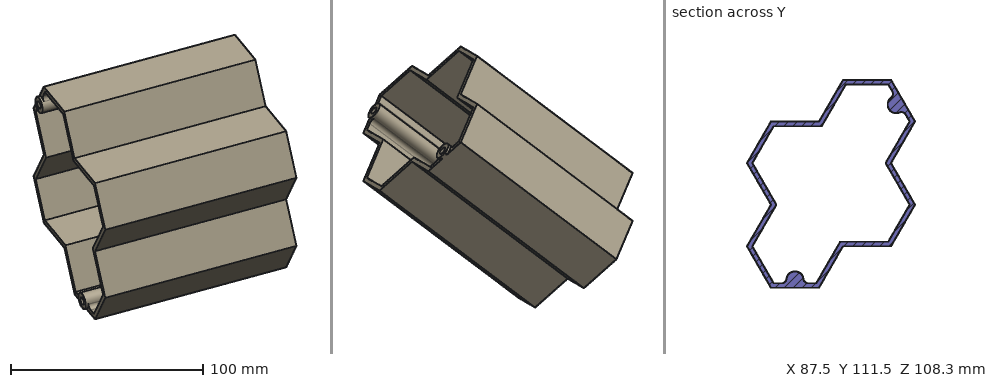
import cadquery as cq
import math

HEX_SIDE = 25.0
WALL = 2.5
SHELL_LENGTH = 110.0
BOSS_RADIUS = 4.5
BOSS_INSET = 4.15
BOSS_OVERHANG = 1.5
FILLET_RADIUS = 2.5
HOLE_DIAMETER = 4.0
HOLE_DEPTH = 20.0
CORNER_ANGLE = 60

APOTHEM = HEX_SIDE * math.sqrt(3) / 2
COLUMN_X = 0.75 * HEX_SIDE
UPPER_LEFT_CELL = (-COLUMN_X, 1.5 * APOTHEM)
LOWER_LEFT_CELL = (-COLUMN_X, -0.5 * APOTHEM)
UPPER_RIGHT_CELL = (COLUMN_X, 0.5 * APOTHEM)
LOWER_RIGHT_CELL = (COLUMN_X, -1.5 * APOTHEM)

FRONT_Y = -SHELL_LENGTH / 2
BOSS_FRONT_Y = FRONT_Y - BOSS_OVERHANG
BOSS_LENGTH = SHELL_LENGTH + BOSS_OVERHANG
TRIM_SIZE = 8 * HEX_SIDE


def section_plane(y):
    """XZ plane at the given Y; local x is X, local y is Z, extrusions run toward -Y."""
    return cq.Workplane("XZ", origin=(0, y, 0))


def cell_corner(cell, index):
    """Corner of a cell, counted counter-clockwise from its +X corner."""
    angle = math.radians(CORNER_ANGLE * index)
    return (cell[0] + HEX_SIDE * math.cos(angle), cell[1] + HEX_SIDE * math.sin(angle))


def outline():
    """Corners around the merged cells, counter-clockwise from the upper right."""
    cell_runs = [
        (UPPER_RIGHT_CELL, (0, 1, 2)),
        (UPPER_LEFT_CELL, (1, 2, 3, 4)),
        (LOWER_LEFT_CELL, (3, 4, 5)),
        (LOWER_RIGHT_CELL, (4, 5, 0, 1)),
    ]
    return [cell_corner(cell, index) for cell, run in cell_runs for index in run]


def prism(offset=0.0):
    """Merged-cell prism over the boss length, its sides moved inward by the offset."""
    profile = section_plane(BOSS_FRONT_Y).polyline(outline()).close()
    if offset:
        profile = profile.offset2D(-offset, "intersection")
    return profile.extrude(-BOSS_LENGTH)


def shell():
    """Open honeycomb tube."""
    tube = prism().cut(prism(WALL))
    end_trim = section_plane(FRONT_Y).rect(TRIM_SIZE, TRIM_SIZE).extrude(BOSS_OVERHANG)
    return tube.cut(end_trim)


def wall_point(cell, wall_angle, along, inset):
    """Point at a distance along a cell wall from its middle and inset from its outer face."""
    angle = math.radians(wall_angle)
    reach = APOTHEM - inset
    x = cell[0] + reach * math.cos(angle) - along * math.sin(angle)
    z = cell[1] + reach * math.sin(angle) + along * math.cos(angle)
    return (x, z)


def boss(cell, wall_angle):
    """Round boss on the middle of a wall, with the fillets that blend it into the wall."""
    center = wall_point(cell, wall_angle, 0, BOSS_INSET)
    body = section_plane(BOSS_FRONT_Y).center(*center).circle(BOSS_RADIUS).extrude(-BOSS_LENGTH)

    fillet_inset = WALL + FILLET_RADIUS
    rise = fillet_inset - BOSS_INSET
    center_distance = BOSS_RADIUS + FILLET_RADIUS
    contact_inset = BOSS_INSET + rise * BOSS_RADIUS / center_distance
    fillet_along = math.sqrt(center_distance ** 2 - rise ** 2)
    base = [
        wall_point(cell, wall_angle, -fillet_along, WALL / 2),
        wall_point(cell, wall_angle, fillet_along, WALL / 2),
        wall_point(cell, wall_angle, fillet_along, contact_inset),
        wall_point(cell, wall_angle, -fillet_along, contact_inset),
    ]
    blend = section_plane(FRONT_Y).polyline(base).close().extrude(-SHELL_LENGTH)
    for along in (-fillet_along, fillet_along):
        axis = wall_point(cell, wall_angle, along, fillet_inset)
        groove = section_plane(FRONT_Y).center(*axis).circle(FILLET_RADIUS).extrude(-SHELL_LENGTH)
        blend = blend.cut(groove)
    return body.union(blend)


def screw_hole(cell, wall_angle):
    """Blind hole from the front of a boss."""
    center = wall_point(cell, wall_angle, 0, BOSS_INSET)
    return section_plane(BOSS_FRONT_Y).center(*center).circle(HOLE_DIAMETER / 2).extrude(-HOLE_DEPTH)


BOSS_WALLS = [(UPPER_LEFT_CELL, 150), (LOWER_RIGHT_CELL, 270)]

envelope = prism()
result = shell()
for boss_cell, boss_wall_angle in BOSS_WALLS:
    result = result.union(boss(boss_cell, boss_wall_angle).intersect(envelope))
    result = result.cut(screw_hole(boss_cell, boss_wall_angle))

result = result.translate((0, BOSS_OVERHANG / 2, 0))